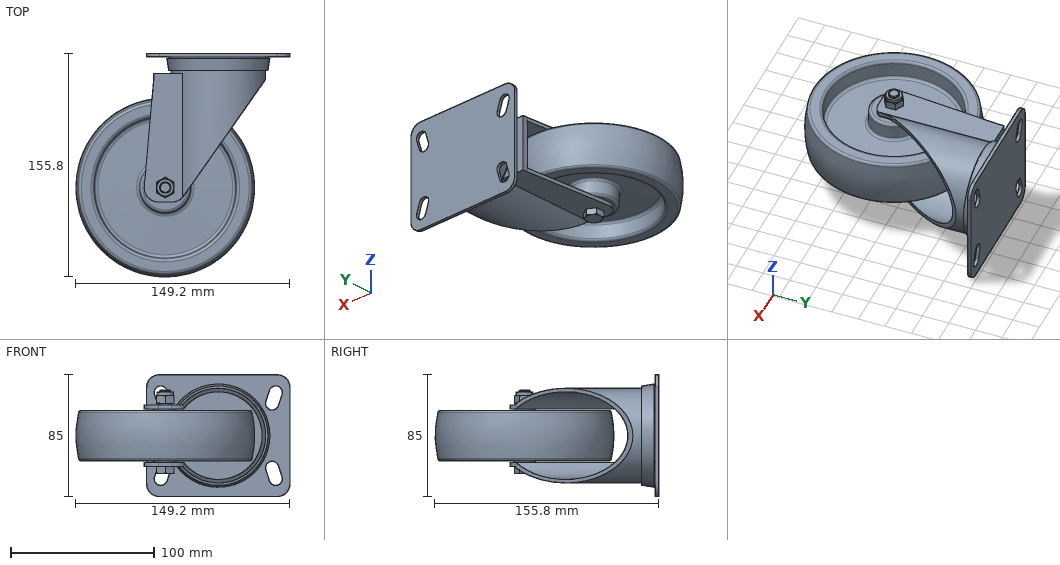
import cadquery as cq
import math


swivel_x = 36.9
plate_face_y = 93.5
plate_length = 100.0
plate_width = 85.0
plate_thickness = 2.5
plate_corner_radius = 9.0
slot_width = 9.0
slot_inner_x, slot_inner_z = 37.5, 22.5
slot_outer_x, slot_outer_z = 40.0, 30.0

neck_diameter = 69.6
neck_height = 1.0
collar_top_diameter = 72.0
collar_bottom_diameter = 69.2
collar_height = 8.5

tube_diameter = 66.0
tube_bore = 61.0
tube_cut_top_y = 75.4
fork_half_width = 21.5
leg_thickness = 3.0
web_top_y = 79.6
web_thickness = 4.0
web_front_x = -8.1
leg_foot_front_x = -15.5
leg_foot_back_x = 9.8
leg_bottom_y = -10.1
leg_corner_radius = 10.0

wheel_diameter = 124.6
wheel_width = 35.2
tread_edge_radius = 60.1
wheel_fillet = 2.0
radius_tolerance = 0.02
rim_top_radius = 49.8
rim_foot_radius = 48.9
hub_top_radius = 17.6
hub_foot_radius = 18.0
web_rim_z = 3.5
web_hub_z = 4.4
spacer_diameter = 15.0

bolt_diameter = 8.0
bolt_tip_chamfer = 0.6
hex_across_flats = 12.5
hex_sides = 6
hex_half_angle = 180 / hex_sides
hex_bevel_angle = 30
head_height = 5.0
nut_gap = 1.0
nut_hex_height = 5.6
nut_collar_diameter = 11.7
nut_collar_height = 2.3
bolt_tip_height = 1.4

plate_bottom_y = plate_face_y - plate_thickness
collar_top_y = plate_bottom_y - neck_height
collar_bottom_y = collar_top_y - collar_height
web_bottom_y = web_top_y - web_thickness
leg_inner_z = fork_half_width - leg_thickness
tube_far_x = swivel_x + tube_diameter / 2
wheel_half_width = wheel_width / 2
nut_bottom_z = fork_half_width + nut_gap
nut_hex_top_z = nut_bottom_z + nut_hex_height
nut_top_z = nut_hex_top_z + nut_collar_height
bolt_top_z = nut_top_z + bolt_tip_height


def swivel_cylinder(diameter, top_y, bottom_y):
    """Cylinder on the swivel axis between two heights."""
    plane = cq.Workplane("XZ", origin=(swivel_x, top_y, 0))
    return plane.circle(diameter / 2).extrude(top_y - bottom_y)


def axle_cylinder(diameter, bottom_z, top_z):
    """Cylinder on the wheel axis between two places along Z."""
    plane = cq.Workplane("XY", origin=(0, 0, bottom_z))
    return plane.circle(diameter / 2).extrude(top_z - bottom_z)


def make_plate():
    """Rounded plate with a slanted slot in each corner."""
    plate = (
        cq.Workplane("XZ", origin=(swivel_x, plate_face_y, 0))
        .rect(plate_length, plate_width)
        .extrude(plate_thickness)
        .edges("|Y")
        .fillet(plate_corner_radius)
    )
    slot_run_x = slot_outer_x - slot_inner_x
    slot_run_z = slot_outer_z - slot_inner_z
    slot_length = math.hypot(slot_run_x, slot_run_z) + slot_width
    slot_angle = math.degrees(math.atan2(slot_run_z, slot_run_x))
    slot_x = (slot_inner_x + slot_outer_x) / 2
    slot_z = (slot_inner_z + slot_outer_z) / 2
    for side_x in (-1, 1):
        for side_z in (-1, 1):
            slot = (
                cq.Workplane("XZ", origin=(swivel_x + side_x * slot_x, plate_face_y, side_z * slot_z))
                .slot2D(slot_length, slot_width, side_x * side_z * slot_angle)
                .extrude(plate_thickness)
            )
            plate = plate.cut(slot)
    return plate


def make_swivel_head():
    """Short neck and a collar that tapers towards the fork."""
    neck = swivel_cylinder(neck_diameter, plate_bottom_y, collar_top_y)
    collar = (
        cq.Workplane("XZ", origin=(swivel_x, collar_top_y, 0))
        .circle(collar_top_diameter / 2)
        .workplane(offset=collar_height)
        .circle(collar_bottom_diameter / 2)
        .loft()
    )
    return neck.union(collar)


def front_block(top_y, half_width):
    """Block in front of the swivel axis, from the leg bottom up to a given height."""
    length = swivel_x - leg_foot_front_x
    height = top_y - leg_bottom_y
    middle = ((swivel_x + leg_foot_front_x) / 2, (top_y + leg_bottom_y) / 2, 0)
    return cq.Workplane("XY", origin=middle).box(length, height, 2 * half_width)


def make_legs_and_tube():
    """Two flat legs that run into a swivel tube, all trimmed to one slanted side outline."""
    outline = (
        cq.Workplane("XY", origin=(0, 0, -tube_diameter / 2))
        .polyline(
            [
                (web_front_x, web_top_y),
                (web_front_x, web_bottom_y),
                (leg_foot_front_x, leg_bottom_y),
                (leg_foot_back_x, leg_bottom_y),
                (tube_far_x, tube_cut_top_y),
                (tube_far_x, web_top_y),
            ]
        )
        .close()
        .extrude(tube_diameter)
        .edges("|Z and <Y")
        .fillet(leg_corner_radius)
    )
    leg_block = front_block(web_top_y, fork_half_width)
    tube = swivel_cylinder(tube_diameter, web_top_y, leg_bottom_y)
    body = leg_block.union(tube).intersect(outline)
    wheel_gap = front_block(web_bottom_y, leg_inner_z)
    bore = swivel_cylinder(tube_bore, web_bottom_y, leg_bottom_y)
    return body.cut(wheel_gap).cut(bore)


def make_fork():
    """Mounting plate, swivel head, tube and legs as one body with holes for the axle bolt."""
    tube_top = swivel_cylinder(tube_diameter, collar_bottom_y, web_top_y)
    bolt_hole = axle_cylinder(bolt_diameter, -fork_half_width, fork_half_width)
    fork = make_plate().union(make_swivel_head()).union(tube_top).union(make_legs_and_tube())
    return fork.cut(bolt_hole)


def circles_near(solid, radius):
    """Circular edges on the wheel axis that have the given radius."""
    return solid.edges("%CIRCLE").filter(lambda edge: abs(edge.radius() - radius) < radius_tolerance)


def make_wheel():
    """Turned wheel with a crowned tread, a dished recess on each face, and a hub with end spacers."""
    recess = (
        cq.Workplane("XZ")
        .moveTo(hub_foot_radius, web_hub_z)
        .lineTo(hub_top_radius, wheel_half_width)
        .lineTo(rim_top_radius, wheel_half_width)
        .lineTo(rim_foot_radius, web_rim_z)
        .close()
        .revolve(360, (0, 0, 0), (0, 1, 0))
    )
    wheel = (
        cq.Workplane("XZ")
        .moveTo(0, -wheel_half_width)
        .lineTo(tread_edge_radius, -wheel_half_width)
        .threePointArc((wheel_diameter / 2, 0), (tread_edge_radius, wheel_half_width))
        .lineTo(0, wheel_half_width)
        .close()
        .revolve(360, (0, 0, 0), (0, 1, 0))
        .cut(recess)
        .cut(recess.mirror("XY"))
    )
    for radius in (tread_edge_radius, rim_top_radius, rim_foot_radius, hub_top_radius, hub_foot_radius):
        wheel = circles_near(wheel, radius).fillet(wheel_fillet)
    spacers = axle_cylinder(spacer_diameter, -leg_inner_z, leg_inner_z)
    bolt_hole = axle_cylinder(bolt_diameter, -leg_inner_z, leg_inner_z)
    return wheel.union(spacers).cut(bolt_hole)


def hex_prism(bottom_z, height, bevelled_face):
    """Hexagonal prism with flats facing X and one end bevelled at the corners."""
    corner_diameter = hex_across_flats / math.cos(math.radians(hex_half_angle))
    bevel_width = (corner_diameter - hex_across_flats) / 2
    bevel_height = bevel_width * math.tan(math.radians(hex_bevel_angle))
    prism = (
        cq.Workplane("XY", origin=(0, 0, bottom_z))
        .transformed(rotate=(0, 0, hex_half_angle))
        .polygon(hex_sides, corner_diameter)
        .extrude(height)
    )
    bevelled_blank = (
        axle_cylinder(corner_diameter, bottom_z, bottom_z + height)
        .faces(bevelled_face)
        .chamfer(bevel_height, bevel_width)
    )
    return prism.intersect(bevelled_blank)


def make_axle_bolt():
    """Hexagon bolt through fork and wheel, with a collared nut on its end."""
    shank = (
        axle_cylinder(bolt_diameter, -fork_half_width, bolt_top_z)
        .faces(">Z")
        .chamfer(bolt_tip_chamfer)
    )
    head = hex_prism(-fork_half_width - head_height, head_height, "<Z")
    nut = hex_prism(nut_bottom_z, nut_hex_height, ">Z")
    nut_collar = axle_cylinder(nut_collar_diameter, nut_hex_top_z, nut_top_z)
    return shank.union(head).union(nut).union(nut_collar)


fork = make_fork()
wheel = make_wheel()
axle_bolt = make_axle_bolt()
result = cq.Compound.makeCompound([fork.val(), wheel.val(), axle_bolt.val()])